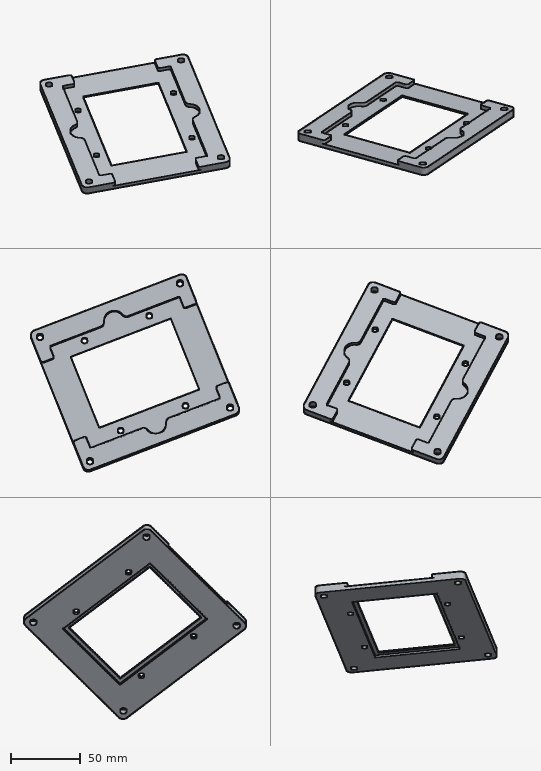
import cadquery as cq
import math

length = 120.0
width = 110.0
height = 6.0
corner_radius = 4.0

floor_height = 3.0
channel_half_width = 31.0
window_length = 77.0
window_width = 56.0

lip_thickness = 1.2
lip_overhang = 3.0

recess_half_length = 50.0
recess_edge_y = 40.2
recess_corner_radius = 1.0
rail_end_radius = 1.5

notch_top_y = 48.0
notch_radius = 7.5
notch_blend_radius = 3.6

corner_hole_diameter = 4.8
corner_hole_x = 54.0
corner_hole_y = 49.1
recess_hole_diameter = 4.2
recess_hole_x = 25.0
recess_hole_y = 35.5


def make_recess():
    """Rear recess with its finger notch, cut down to the channel floor."""
    depth = height - floor_height
    recess_width = recess_edge_y - channel_half_width
    recess = (
        cq.Workplane("XY", origin=(0, channel_half_width + recess_width / 2, floor_height))
        .rect(2 * recess_half_length, recess_width)
        .extrude(depth)
        .edges("|Z and >Y")
        .fillet(recess_corner_radius)
    )

    notch_center_y = notch_top_y - notch_radius
    blend_center_y = recess_edge_y + notch_blend_radius
    center_distance = notch_radius + notch_blend_radius
    rise = blend_center_y - notch_center_y
    blend_center_x = math.sqrt(center_distance**2 - rise**2)
    tangent_x = blend_center_x * notch_radius / center_distance
    tangent_y = notch_center_y + rise * notch_radius / center_distance
    middle_angle = (math.atan2(rise, blend_center_x) - math.pi / 2) / 2
    blend_x = blend_center_x + notch_blend_radius * math.sin(middle_angle)
    blend_y = blend_center_y - notch_blend_radius * math.cos(middle_angle)
    notch = (
        cq.Workplane("XY", origin=(0, 0, floor_height))
        .moveTo(-blend_center_x, channel_half_width)
        .lineTo(-blend_center_x, recess_edge_y)
        .threePointArc((-blend_x, blend_y), (-tangent_x, tangent_y))
        .threePointArc((0, notch_top_y), (tangent_x, tangent_y))
        .threePointArc((blend_x, blend_y), (blend_center_x, recess_edge_y))
        .lineTo(blend_center_x, channel_half_width)
        .close()
        .extrude(depth)
    )
    return recess.union(notch)


def make_rear_rail():
    """Raised rear rail: rounded ends beside the recess."""
    rail_width = width / 2 - channel_half_width
    rail = (
        cq.Workplane("XY", origin=(0, channel_half_width + rail_width / 2, floor_height))
        .rect(length, rail_width)
        .extrude(height - floor_height)
        .edges("|Z and >Y")
        .fillet(corner_radius)
        .cut(make_recess())
    )
    return rail.edges("|Z and <Y").fillet(rail_end_radius)


def through_holes(diameter, x, y):
    """Four holes placed symmetrically about both centre lines."""
    return (
        cq.Workplane("XY")
        .rect(2 * x, 2 * y, forConstruction=True)
        .vertices()
        .circle(diameter / 2)
        .extrude(height)
    )


base = (
    cq.Workplane("XY")
    .rect(length, width)
    .extrude(floor_height)
    .edges("|Z")
    .fillet(corner_radius)
)
rear_rail = make_rear_rail()
window = cq.Workplane("XY").rect(window_length, window_width).extrude(floor_height)
relief = (
    cq.Workplane("XY")
    .rect(window_length + 2 * lip_overhang, window_width + 2 * lip_overhang)
    .extrude(floor_height - lip_thickness)
)

result = (
    base.union(rear_rail)
    .union(rear_rail.mirror("XZ"))
    .cut(window)
    .cut(relief)
    .cut(through_holes(corner_hole_diameter, corner_hole_x, corner_hole_y))
    .cut(through_holes(recess_hole_diameter, recess_hole_x, recess_hole_y))
)